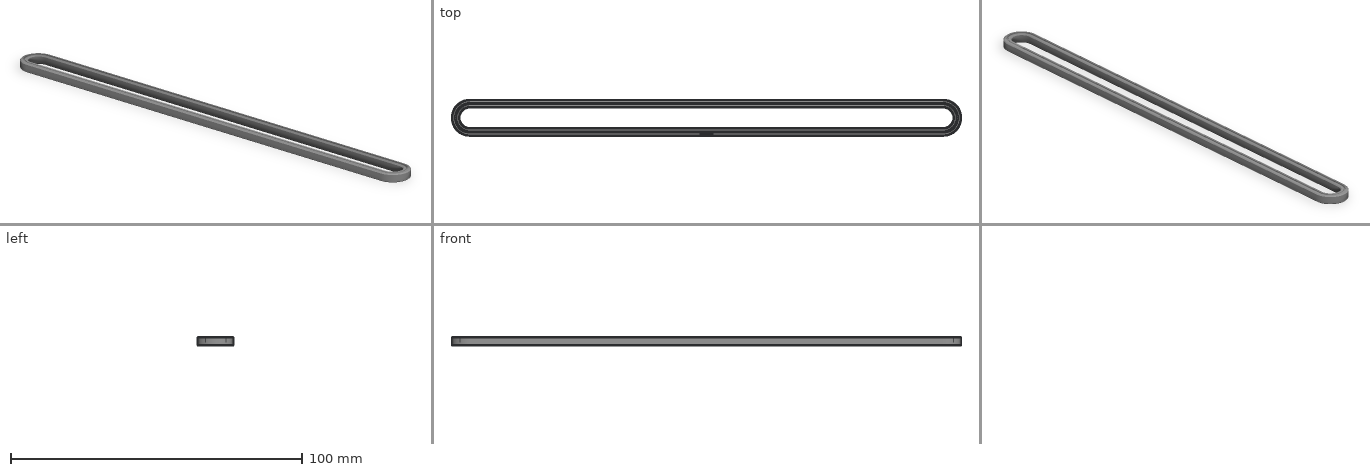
import cadquery as cq

LENGTH = 175.0
WIDTH = 12.5
HEIGHT = WIDTH / 4
BAND_WIDTH = 2.75
EDGE_CHAMFER = 0.3

GROOVE_WIDTH = BAND_WIDTH / 5
GROOVE_DEPTH = 0.2
GROOVE_INSET = (BAND_WIDTH - GROOVE_WIDTH) / 2

MARK_LENGTH = 4.3
MARK_WIDTH = 0.4
MARK_DEPTH = 0.1


def stadium(inset, bottom, height):
    """Solid with the ring's outer outline moved inward by `inset`."""
    return (
        cq.Workplane("XY", origin=(0, 0, bottom))
        .slot2D(LENGTH - 2 * inset, WIDTH - 2 * inset)
        .extrude(height)
    )


def stadium_ring(inset, band_width, bottom, height):
    """Closed band of constant width whose outer side lies `inset` inside the outline."""
    outer = stadium(inset, bottom, height)
    inner = stadium(inset + band_width, bottom, height)
    return outer.cut(inner)


def chamfered_body():
    """Plain ring with its outer and inner rims chamfered at top and bottom."""
    ring = stadium_ring(0, BAND_WIDTH, 0, HEIGHT)
    return ring.faces("<Z or >Z").edges().chamfer(EDGE_CHAMFER)


def top_groove():
    return stadium_ring(GROOVE_INSET, GROOVE_WIDTH, HEIGHT - GROOVE_DEPTH, GROOVE_DEPTH)


def land_mark():
    """Recess halfway between the chamfer and the groove, at mid-length."""
    land_middle = (EDGE_CHAMFER + GROOVE_INSET) / 2
    return (
        cq.Workplane("XY", origin=(0, land_middle - WIDTH / 2, HEIGHT - MARK_DEPTH))
        .rect(MARK_LENGTH, MARK_WIDTH)
        .extrude(MARK_DEPTH)
    )


result = chamfered_body().cut(top_groove()).cut(land_mark())